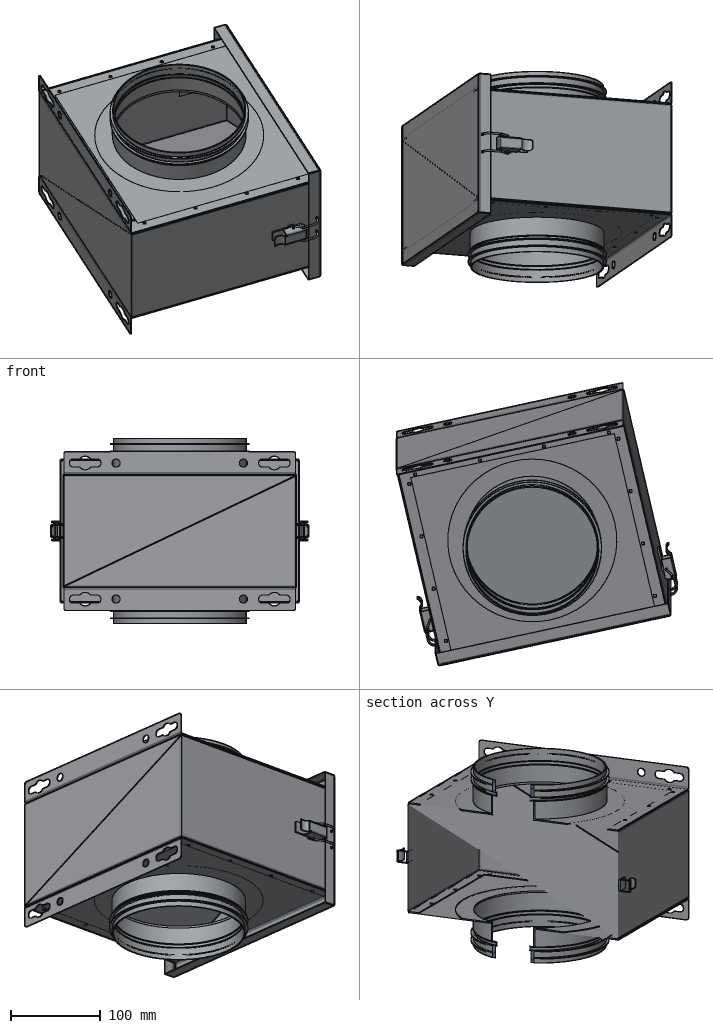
import cadquery as cq
import math

SHEET = 1.0
BEND = 2.0
DEPTH = 229.0
Y_FRONT = -DEPTH / 2
Y_BACK = DEPTH / 2
OVERALL_WIDTH = 287.4
OVERALL_HEIGHT = 206.0

BOX_HALF_X = 130.0
BOX_HALF_Z = 63.0
FLANGE_IN = 14.0

PLATE_HALF_X = 129.0
MOUNT_HALF_Z = 88.5
REAR_FLANGE_Z = 78.5
MOUNT_CORNER = 3.0
MOUNT_HOLE_Z = 75.6
MOUNT_HOLE_X = 70.8
MOUNT_HOLE_D = 9.0
KEYHOLE_X = 105.2
KEYHOLE_LENGTH = 35.0
KEYHOLE_SLOT = 9.0
KEYHOLE_ROUND_D = 15.0

SIDE_RIVET_D = 3.5
SIDE_RIVET_X = 119.2
SIDE_RIVET_PITCH = 62.0
SIDE_RIVET_COUNT = 4
SIDE_RIVET_Y0 = -93.7
FRONT_RIVET_D = 3.3
FRONT_RIVET_X = (-110.4, -36.5, 36.5, 110.4)
FRONT_RIVET_Y = -103.2

SPIGOT_RING_D = 188.0
COLLAR_D = 149.0
COLLAR_BORE = 147.4
COLLAR_END_Z = 85.2
COLLAR_CHAMFER = 0.7
GROOVE_D = 145.4
GROOVE_BORE = 144.4
GROOVE_END_Z = 88.3
TUBE_D = 148.0
TUBE_BORE = 145.4
LIP_D = 154.0
LIP_THICK = 1.0
LIP_Z = (GROOVE_END_Z, 96.5)

LID_HALF_X = 133.0
LID_HALF_Z = 80.0
LID_DEPTH = 15.0
LID_BEND = 2.8

WIRE_D = 2.0
WIRE_Z = 10.0
WIRE_HOLE_D = 2.6
WIRE_HOLE_Y = 109.3
WIRE_RUN_X = 141.4
WIRE_RUN_TOP_Y = 100.0
WIRE_RUN_END_Y = 90.5
WIRE_END_X = LID_HALF_X - SHEET
PIVOT_X = 134.8
PIVOT_Y = 80.3
LEVER_OUT_X = OVERALL_WIDTH / 2
LEVER_IN_X = 131.2
LEVER_HALF_Z = 7.2
LEVER_SHEET = 1.2
LEVER_BEND = 2.0
LEVER_TOP_Y = 93.5
LEVER_LOW_Y = 68.7
LEVER_CHAMFER = 3.3
TAIL_HALF_Z = 6.3
TAIL_TOP_Y = 66.5
TAIL_END_Y = 53.9
TAIL_BULGE = 3.7
TAIL_CORNER = 3.0
FOOT_THICK = 2.0
FOOT_LOW_Y = 56.4
FOOT_EAR_Y = 75.6
FOOT_TOP_Y = 82.0
FOOT_EAR_HALF_Z = 8.3
LEVER_PIN_D = 2.6
LEVER_PIN_X = 139.2
LEVER_PIN_Y = 90.2

Y_INNER = Y_FRONT + SHEET
Y_LID_INNER = Y_BACK - SHEET
CAVITY_HALF_X = BOX_HALF_X - SHEET
CAVITY_HALF_Z = BOX_HALF_Z - SHEET
PLATE_Z = BOX_HALF_Z + SHEET


def block(x0, x1, y0, y1, z0, z1):
    """Box given by its limits along X, Y and Z."""
    return cq.Workplane("XY").box(x1 - x0, y1 - y0, z1 - z0, centered=False).translate((x0, y0, z0))


def disc(diameter, z0, z1):
    """Cylinder on the Z axis between two heights."""
    return cq.Workplane("XY").workplane(offset=z0).circle(diameter / 2).extrude(z1 - z0)


def make_wrapper():
    """Front and side walls, bent inward at top and bottom to a flange, open at the back."""
    outer = block(-BOX_HALF_X, BOX_HALF_X, Y_FRONT, Y_LID_INNER, -BOX_HALF_Z, BOX_HALF_Z)
    outer = outer.edges("|Y").fillet(BEND).faces("<Y").edges().fillet(BEND)
    cavity = block(-CAVITY_HALF_X, CAVITY_HALF_X, Y_INNER, Y_BACK, -CAVITY_HALF_Z, CAVITY_HALF_Z)
    opening_half_x = BOX_HALF_X - FLANGE_IN
    opening = block(-opening_half_x, opening_half_x, Y_FRONT + FLANGE_IN, Y_BACK, -BOX_HALF_Z, BOX_HALF_Z)
    return outer.cut(cavity).cut(opening)


def make_partition():
    """Sloping sheet from the lower left inner corner to the upper right one."""
    return (
        cq.Workplane("XZ", origin=(0, Y_INNER, 0))
        .polyline([
            (-CAVITY_HALF_X, -CAVITY_HALF_Z),
            (CAVITY_HALF_X, CAVITY_HALF_Z - SHEET),
            (CAVITY_HALF_X, CAVITY_HALF_Z),
            (-CAVITY_HALF_X, -CAVITY_HALF_Z + SHEET),
        ])
        .close()
        .extrude(-(Y_LID_INNER - Y_INNER))
    )


def make_cover_plate():
    """Top cover plate with its upturned front and rear flanges and the mounting holes."""
    front_bend_y = Y_FRONT + BEND
    rear_bend_y = Y_LID_INNER - BEND
    bend_z = BOX_HALF_Z + BEND
    bend_in = BEND - SHEET
    rear_inner_y = Y_LID_INNER - SHEET
    out_mid = BEND * math.cos(math.pi / 4)
    in_mid = bend_in * math.cos(math.pi / 4)
    plate = (
        cq.Workplane("YZ", origin=(-PLATE_HALF_X, 0, 0))
        .moveTo(rear_bend_y, BOX_HALF_Z)
        .lineTo(front_bend_y, BOX_HALF_Z)
        .threePointArc((front_bend_y - out_mid, bend_z - out_mid), (Y_FRONT, bend_z))
        .lineTo(Y_FRONT, MOUNT_HALF_Z)
        .lineTo(Y_INNER, MOUNT_HALF_Z)
        .lineTo(Y_INNER, bend_z)
        .threePointArc((front_bend_y - in_mid, bend_z - in_mid), (front_bend_y, PLATE_Z))
        .lineTo(rear_bend_y, PLATE_Z)
        .threePointArc((rear_bend_y + in_mid, bend_z - in_mid), (rear_inner_y, bend_z))
        .lineTo(rear_inner_y, REAR_FLANGE_Z)
        .lineTo(Y_LID_INNER, REAR_FLANGE_Z)
        .lineTo(Y_LID_INNER, bend_z)
        .threePointArc((rear_bend_y + out_mid, bend_z - out_mid), (rear_bend_y, BOX_HALF_Z))
        .close()
        .extrude(2 * PLATE_HALF_X)
    )
    plate = plate.faces(">Z").edges("|Y").fillet(MOUNT_CORNER)
    return plate.cut(mounting_holes())


def mounting_holes():
    """Cutters for the keyhole slots and round holes of one mounting flange."""
    sketch = cq.Workplane("XZ", origin=(0, Y_FRONT, 0))
    keyhole_at = [(-KEYHOLE_X, MOUNT_HOLE_Z), (KEYHOLE_X, MOUNT_HOLE_Z)]
    round_at = [(-MOUNT_HOLE_X, MOUNT_HOLE_Z), (MOUNT_HOLE_X, MOUNT_HOLE_Z)]
    slots = sketch.pushPoints(keyhole_at).slot2D(KEYHOLE_LENGTH, KEYHOLE_SLOT).extrude(-SHEET)
    widenings = sketch.pushPoints(keyhole_at).circle(KEYHOLE_ROUND_D / 2).extrude(-SHEET)
    rounds = sketch.pushPoints(round_at).circle(MOUNT_HOLE_D / 2).extrude(-SHEET)
    return slots.union(widenings).union(rounds)


def rivet_holes():
    """Cutters for the rivet holes through cover plates and wrapper flanges, top and bottom."""
    side_at = []
    for row in range(SIDE_RIVET_COUNT):
        for side in (-1, 1):
            side_at.append((side * SIDE_RIVET_X, SIDE_RIVET_Y0 + row * SIDE_RIVET_PITCH))
    front_at = [(x, FRONT_RIVET_Y) for x in FRONT_RIVET_X]
    sketch = cq.Workplane("XY", origin=(0, 0, CAVITY_HALF_Z))
    depth = PLATE_Z - CAVITY_HALF_Z
    top = sketch.pushPoints(side_at).circle(SIDE_RIVET_D / 2).extrude(depth)
    top = top.union(sketch.pushPoints(front_at).circle(FRONT_RIVET_D / 2).extrude(depth))
    return top.union(top.mirror("XY"))


def make_spigot():
    """Upper duct spigot: seating ring, collar, groove, tube and two sealing lips."""
    top_z = OVERALL_HEIGHT / 2
    spigot = disc(SPIGOT_RING_D, BOX_HALF_Z - SHEET, BOX_HALF_Z)
    collar = disc(COLLAR_D, BOX_HALF_Z, COLLAR_END_Z).faces(">Z").edges().chamfer(COLLAR_CHAMFER)
    spigot = spigot.union(collar)
    spigot = spigot.union(disc(GROOVE_D, COLLAR_END_Z, GROOVE_END_Z))
    spigot = spigot.union(disc(TUBE_D, GROOVE_END_Z, top_z))
    for z in LIP_Z:
        spigot = spigot.union(disc(LIP_D, z, z + LIP_THICK))
    spigot = spigot.cut(disc(COLLAR_BORE, 0, COLLAR_END_Z - SHEET))
    spigot = spigot.cut(disc(GROOVE_BORE, 0, GROOVE_END_Z + SHEET))
    return spigot.cut(disc(TUBE_BORE, GROOVE_END_Z + SHEET, top_z))


def make_housing():
    """Welded housing: wrapper, partition, cover plates and spigots in one solid."""
    cover = make_cover_plate().cut(disc(COLLAR_D, BOX_HALF_Z, PLATE_Z)).union(make_spigot())
    body = make_wrapper().union(make_partition())
    body = body.union(cover).union(cover.mirror("XY"))
    return body.cut(rivet_holes())


def make_lid():
    """Shallow cap with bent flanges, notched at its corners, and holes for the clip wires."""
    y_open = Y_BACK - LID_DEPTH
    inner_x = LID_HALF_X - SHEET
    inner_z = LID_HALF_Z - SHEET
    upright = block(-inner_x, inner_x, y_open, Y_BACK, -LID_HALF_Z, LID_HALF_Z)
    upright = upright.faces(">Y").edges("|X").fillet(LID_BEND)
    across = block(-LID_HALF_X, LID_HALF_X, y_open, Y_BACK, -inner_z, inner_z)
    across = across.faces(">Y").edges("|Z").fillet(LID_BEND)
    lid = upright.union(across)
    lid = lid.cut(block(-inner_x, inner_x, y_open, Y_LID_INNER, -inner_z, inner_z))
    wire_holes = (
        cq.Workplane("YZ", origin=(-LID_HALF_X, 0, 0))
        .pushPoints([(WIRE_HOLE_Y, -WIRE_Z), (WIRE_HOLE_Y, WIRE_Z)])
        .circle(WIRE_HOLE_D / 2)
        .extrude(2 * LID_HALF_X)
    )
    return lid.cut(wire_holes)


def make_wire(z):
    """One bent leg of the wire bail, from the lid hole to the lever pivot."""
    path = (
        cq.Workplane("XY", origin=(0, 0, z))
        .moveTo(WIRE_END_X, WIRE_HOLE_Y)
        .lineTo(LID_HALF_X + SHEET / 2, WIRE_HOLE_Y)
        .tangentArcPoint((WIRE_RUN_X, WIRE_RUN_TOP_Y), relative=False)
        .lineTo(WIRE_RUN_X, WIRE_RUN_END_Y)
        .lineTo(PIVOT_X, PIVOT_Y)
    )
    section = cq.Workplane("YZ", origin=(WIRE_END_X, WIRE_HOLE_Y, z)).circle(WIRE_D / 2)
    return section.sweep(path, transition="round")


def make_lever():
    """Lever with two side plates, an end wall and a curved finger tail."""
    outline = (
        cq.Workplane("XY", origin=(0, 0, -LEVER_HALF_Z))
        .moveTo(LEVER_OUT_X, LEVER_LOW_Y)
        .lineTo(LEVER_IN_X, LEVER_LOW_Y)
        .lineTo(LEVER_IN_X, LEVER_TOP_Y - LEVER_CHAMFER)
        .lineTo(LEVER_IN_X + LEVER_CHAMFER, LEVER_TOP_Y)
        .lineTo(LEVER_OUT_X, LEVER_TOP_Y)
        .close()
        .extrude(2 * LEVER_HALF_Z)
    )
    outline = outline.faces(">X").edges("|Y or >Y").fillet(LEVER_BEND)
    inside_x = LEVER_OUT_X - LEVER_SHEET
    inside_y = LEVER_TOP_Y - LEVER_SHEET
    inside_z = LEVER_HALF_Z - LEVER_SHEET
    lever = outline.cut(block(0, inside_x, LEVER_LOW_Y, inside_y, -inside_z, inside_z))
    middle_y = (TAIL_TOP_Y + TAIL_END_Y) / 2
    tail = (
        cq.Workplane("XY", origin=(0, 0, -TAIL_HALF_Z))
        .moveTo(LEVER_OUT_X, LEVER_LOW_Y)
        .lineTo(LEVER_OUT_X, TAIL_TOP_Y)
        .threePointArc((LEVER_OUT_X - TAIL_BULGE, middle_y), (LEVER_OUT_X, TAIL_END_Y))
        .lineTo(inside_x, TAIL_END_Y)
        .threePointArc((inside_x - TAIL_BULGE, middle_y), (inside_x, TAIL_TOP_Y))
        .lineTo(inside_x, LEVER_LOW_Y)
        .close()
        .extrude(2 * TAIL_HALF_Z)
    )
    tongue = block(0, LEVER_OUT_X, TAIL_END_Y, LEVER_LOW_Y, -TAIL_HALF_Z, TAIL_HALF_Z)
    tongue = tongue.faces("<Y").edges("|X").fillet(TAIL_CORNER)
    return lever.union(tail.intersect(tongue))


def make_cross_pin(diameter, x, y, half_z):
    """Pin along Z, centred on the middle plane."""
    return cq.Workplane("XY", origin=(x, y, -half_z)).circle(diameter / 2).extrude(2 * half_z)


def make_clip():
    """Clip on the +X side: foot on the housing, lever, pins and wire bail."""
    foot_x = BOX_HALF_X + FOOT_THICK
    foot = block(BOX_HALF_X, foot_x, FOOT_LOW_Y, FOOT_TOP_Y, -TAIL_HALF_Z, TAIL_HALF_Z)
    ears = block(BOX_HALF_X, foot_x, FOOT_EAR_Y, FOOT_TOP_Y, -FOOT_EAR_HALF_Z, FOOT_EAR_HALF_Z)
    clip = foot.union(ears).union(make_lever())
    clip = clip.union(make_cross_pin(LEVER_PIN_D, LEVER_PIN_X, LEVER_PIN_Y, FOOT_EAR_HALF_Z))
    clip = clip.union(make_cross_pin(WIRE_D, PIVOT_X, PIVOT_Y, WIRE_Z))
    for z in (-WIRE_Z, WIRE_Z):
        end_ball = cq.Workplane("XY").sphere(WIRE_D / 2).translate((PIVOT_X, PIVOT_Y, z))
        clip = clip.union(make_wire(z)).union(end_ball)
    return clip


housing = make_housing()
lid = make_lid()
clip = make_clip()
bodies = [housing, lid, clip, clip.mirror("YZ")]

result = cq.Compound.makeCompound([body.solids().val() for body in bodies])